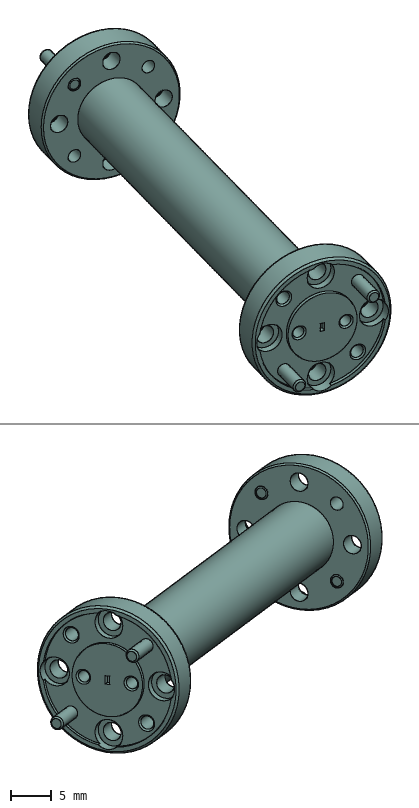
import cadquery as cq
import math

overall_length = 71.6
flange_face_span = 63.45
flange_thickness = 4.1
flange_face_x = flange_face_span / 2
flange_back_x = flange_face_x - flange_thickness

flange_diameter = 19.05
face_chamfer = 0.3
back_chamfer = 0.2
tube_diameter = 9.25

boss_diameter = 9.45
rim_inner_diameter = 17.3
recess_depth = 0.5
recess_floor_x = flange_face_x - recess_depth

bolt_circle_radius = 7.15
screw_hole_diameter = 2.35
counterbore_diameter = 3.7
counterbore_depth = 1.5

pin_diameter = 1.7
pin_chamfer = 0.2
pin_length = overall_length / 2 - flange_back_x
pin_angle = 45.0
hole_chamfer = 0.2
hole_chamfer_angle = 45.0

boss_hole_diameter = 1.5
boss_hole_offset = 3.2
boss_hole_depth = 4.0
drill_point_angle = 118.0

opening_width = 0.6
opening_height = 1.1
opening_depth = 0.7


def on_bolt_circle(angle):
    """Return the (Y, Z) point of the bolt circle at an angle in degrees from +Y."""
    turn = math.radians(angle)
    return bolt_circle_radius * math.cos(turn), bolt_circle_radius * math.sin(turn)


axis_point = (0, 0)
screw_points = [on_bolt_circle(angle) for angle in (0, 90, 180, 270)]
pin_points = [on_bolt_circle(pin_angle + turn) for turn in (0, 180)]
receiving_points = [on_bolt_circle(pin_angle + turn) for turn in (90, 270)]
boss_hole_points = [(-boss_hole_offset, 0), (boss_hole_offset, 0)]


def sketch_at(x):
    """Workplane parallel to YZ at x, facing +X."""
    return cq.Workplane("YZ", origin=(x, 0, 0))


def rods(points, diameter, start_x, end_x):
    """Cylinders along X, centred on (Y, Z) points."""
    return sketch_at(start_x).pushPoints(points).circle(diameter / 2).extrude(end_x - start_x)


def chamfered_holes(points, diameter, bottom_x, face_x):
    """Hole cutters that open with a chamfered mouth in a face at face_x."""
    mouths = sketch_at(face_x - hole_chamfer).pushPoints(points).circle(diameter / 2)
    mouths = mouths.extrude(hole_chamfer, taper=-hole_chamfer_angle)
    return rods(points, diameter, bottom_x, face_x).union(mouths)


def turned_to_other_end(shape):
    """Turn a shape of the +X end half a turn about Z, onto the -X end."""
    return shape.rotate((0, 0, 0), (0, 0, 1), 180)


def flange_disc():
    """Plain disc of the +X flange, chamfered on both rims."""
    disc = rods([axis_point], flange_diameter, flange_back_x, flange_face_x)
    disc = disc.faces(">X").chamfer(face_chamfer)
    return disc.faces("<X").chamfer(back_chamfer)


def face_recess():
    """Ring between the boss and the rim."""
    ring = sketch_at(recess_floor_x).circle(rim_inner_diameter / 2).circle(boss_diameter / 2)
    return ring.extrude(recess_depth)


def screw_holes():
    """Through holes, counterbored from the mating face."""
    holes = rods(screw_points, screw_hole_diameter, flange_back_x, flange_face_x)
    counterbore_floor_x = flange_face_x - counterbore_depth
    return holes.union(rods(screw_points, counterbore_diameter, counterbore_floor_x, flange_face_x))


def pin_holes():
    """Plain through holes that the flange's own pins fill."""
    return rods(pin_points, pin_diameter, flange_back_x, flange_face_x)


def receiving_holes():
    """Through holes, chamfered at the recess floor, for the pins of a mating flange."""
    return chamfered_holes(receiving_points, pin_diameter, flange_back_x, recess_floor_x)


def boss_holes():
    """Blind holes that end in a drill point."""
    bottom_x = flange_face_x - boss_hole_depth
    radius = boss_hole_diameter / 2
    point_length = radius / math.tan(math.radians(drill_point_angle / 2))
    inward = cq.Vector(-1, 0, 0)
    holes = chamfered_holes(boss_hole_points, boss_hole_diameter, bottom_x, flange_face_x)
    for y, z in boss_hole_points:
        drill_point = cq.Solid.makeCone(radius, 0, point_length, cq.Vector(bottom_x, y, z), inward)
        holes = holes.union(cq.Workplane(drill_point))
    return holes


def waveguide_opening():
    """Rectangular pocket in the middle of the boss, taller along Z."""
    pocket = sketch_at(flange_face_x - opening_depth).rect(opening_width, opening_height)
    return pocket.extrude(opening_depth)


def flanged_tube():
    """Tube with a flange at each end, as one solid."""
    tube = rods([axis_point], tube_diameter, -flange_back_x, flange_back_x)
    flange = flange_disc()
    body = tube.union(flange).union(turned_to_other_end(flange))
    cuts = [face_recess(), screw_holes(), pin_holes(), receiving_holes(), boss_holes(), waveguide_opening()]
    for cut in cuts:
        body = body.cut(cut).cut(turned_to_other_end(cut))
    return body


def alignment_pin(point):
    """Pin of the +X end, chamfered at both ends and flush with the back of the flange."""
    pin = rods([point], pin_diameter, flange_back_x, flange_back_x + pin_length)
    return pin.faces("<X or >X").chamfer(pin_chamfer)


body = flanged_tube()

pins = []
for pin_point in pin_points:
    pin = alignment_pin(pin_point)
    pins.append(pin.val())
    pins.append(turned_to_other_end(pin).val())

result = cq.Compound.makeCompound([body.solids().val(), *pins])